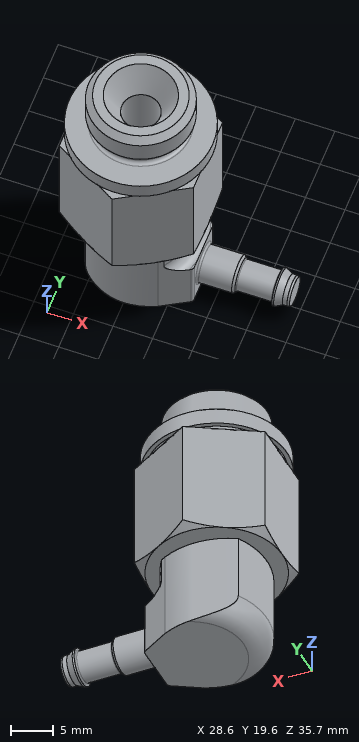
import cadquery as cq
import math

ELBOW_TOP = 11.8
HEX_BOTTOM = 12.1
HEX_TOP = 27.25
FLANGE_BOTTOM = 27.65
FLANGE_TOP = 29.85
NECK_TOP = 31.0
TOTAL_HEIGHT = 35.65

COLLAR_RADIUS = 13.15 / 2
NECK_RADIUS = 11.45 / 2
FLANGE_RADIUS = 18.15 / 2
NECK_FOOT_FILLET = 0.55
NECK_TOP_FILLET = 0.2
COLLAR_CHAMFER = COLLAR_RADIUS - NECK_RADIUS

BORE_RADIUS = 4.8 / 2
COUNTERSINK_RADIUS = 8.9 / 2
COUNTERSINK_HALF_ANGLE = 30

HEX_WIDTH = 17.0
HEX_CORNER_WIDTH = HEX_WIDTH / math.cos(math.radians(30))
HEX_CHAMFER_ANGLE = 30
SWIVEL_RADIUS = 4.8

ELBOW_HALF_WIDTH = 6.5
ELBOW_SIDE_RADIUS = 9.9
ELBOW_BOTTOM_FILLET = 3.0
NOSE_START = 4.2
NOSE_END = 7.9
NOSE_EDGE_FILLET = 0.55
NOSE_TAPER_ANGLE = 30
NOSE_TOP = 7.02
NOSE_FILLET = 1.65
NOSE_WALL_RADIUS = 9.0

OVERALL_LENGTH = 28.55
BARB_HEIGHT = 3.5
SHANK_RADIUS = 4.8 / 2
TUBE_RADIUS = 4.0 / 2
TIP_RADIUS = 3.9 / 2
SHANK_FILLET = 0.3
SHANK_CHAMFER_START = 12.37
SHANK_END = 12.7
TUBE_FILLET = 0.15
RIDGE_START = 17.45
RIDGE_END = 17.7
CONE_END = 18.6
BARB_END = OVERALL_LENGTH - FLANGE_RADIUS
TIP_CHAMFER_LENGTH = 0.3
TIP_CHAMFER_DEPTH = 0.1

SIDE_ARC_OFFSET = ELBOW_SIDE_RADIUS - ELBOW_HALF_WIDTH


def fillet_midpoint(corner_x, corner_y, radius):
    """Middle of a quarter-round fillet lying on the +x, +y side of a square inner corner."""
    offset = radius * (1 - math.sqrt(0.5))
    return (corner_x + offset, corner_y + offset)


def make_screw_end():
    """Collar, neck, flange and spacer disc, turned about the main axis."""
    setback = NECK_TOP_FILLET * math.tan(math.radians(22.5))
    cone_setback = setback * math.sqrt(0.5)
    return (
        cq.Workplane("XZ")
        .moveTo(0, HEX_TOP)
        .lineTo(HEX_WIDTH / 2, HEX_TOP)
        .lineTo(HEX_WIDTH / 2, FLANGE_BOTTOM)
        .lineTo(FLANGE_RADIUS, FLANGE_BOTTOM)
        .lineTo(FLANGE_RADIUS, FLANGE_TOP)
        .lineTo(NECK_RADIUS + NECK_FOOT_FILLET, FLANGE_TOP)
        .threePointArc(
            fillet_midpoint(NECK_RADIUS, FLANGE_TOP, NECK_FOOT_FILLET),
            (NECK_RADIUS, FLANGE_TOP + NECK_FOOT_FILLET),
        )
        .lineTo(NECK_RADIUS, NECK_TOP - setback)
        .tangentArcPoint((NECK_RADIUS + cone_setback, NECK_TOP + cone_setback), relative=False)
        .lineTo(COLLAR_RADIUS, NECK_TOP + COLLAR_CHAMFER)
        .lineTo(COLLAR_RADIUS, TOTAL_HEIGHT - COLLAR_CHAMFER)
        .lineTo(NECK_RADIUS, TOTAL_HEIGHT)
        .lineTo(0, TOTAL_HEIGHT)
        .close()
        .revolve(360, (0, 0), (0, 1))
    )


def make_hexagon():
    """Hexagon with corners on the Y axis and a turned chamfer at its underside."""
    corner_radius = HEX_CORNER_WIDTH / 2
    chamfer_height = (corner_radius - HEX_WIDTH / 2) * math.tan(math.radians(HEX_CHAMFER_ANGLE))
    hexagon = (
        cq.Workplane("XY")
        .workplane(offset=HEX_BOTTOM)
        .polygon(6, HEX_CORNER_WIDTH)
        .extrude(HEX_TOP - HEX_BOTTOM)
        .rotate((0, 0, 0), (0, 0, 1), 30)
    )
    chamfer_envelope = (
        cq.Workplane("XZ")
        .moveTo(0, HEX_BOTTOM)
        .lineTo(HEX_WIDTH / 2, HEX_BOTTOM)
        .lineTo(corner_radius, HEX_BOTTOM + chamfer_height)
        .lineTo(corner_radius, HEX_TOP)
        .lineTo(0, HEX_TOP)
        .close()
        .revolve(360, (0, 0), (0, 1))
    )
    return hexagon.intersect(chamfer_envelope)


def make_elbow_block():
    """Elbow outline with three bulging sides, rounded along the lower -X edge."""
    corner = (math.sqrt(2 * ELBOW_SIDE_RADIUS**2 - SIDE_ARC_OFFSET**2) - SIDE_ARC_OFFSET) / 2
    nose_start_y = math.sqrt(ELBOW_SIDE_RADIUS**2 - NOSE_START**2) - SIDE_ARC_OFFSET
    nose_taper = math.tan(math.radians(NOSE_TAPER_ANGLE))
    nose_end_y = nose_start_y - (NOSE_END - NOSE_START) * nose_taper
    outline = (
        cq.Workplane("XY")
        .moveTo(-corner, -corner)
        .threePointArc((0, -ELBOW_HALF_WIDTH), (NOSE_START, -nose_start_y))
        .lineTo(NOSE_END, -nose_end_y)
        .lineTo(NOSE_END, nose_end_y)
        .lineTo(NOSE_START, nose_start_y)
        .threePointArc((0, ELBOW_HALF_WIDTH), (-corner, corner))
        .threePointArc((-ELBOW_HALF_WIDTH, 0), (-corner, -corner))
        .close()
        .extrude(ELBOW_TOP)
        .edges("|Z and >X")
        .fillet(NOSE_EDGE_FILLET)
    )
    rounded_envelope = (
        cq.Workplane("XY")
        .center(SIDE_ARC_OFFSET, 0)
        .circle(ELBOW_SIDE_RADIUS)
        .extrude(ELBOW_TOP)
        .faces("<Z")
        .edges()
        .fillet(ELBOW_BOTTOM_FILLET)
    )
    return outline.intersect(rounded_envelope)


def make_nose_relief():
    """Space above the nose, bounded by a bulging wall with a filleted foot."""
    length = 2 * ELBOW_HALF_WIDTH
    relief = cq.Workplane("XY").box(length, 2 * length, length, centered=(False, True, False))
    relief = relief.translate((ELBOW_HALF_WIDTH / 2, 0, NOSE_TOP))
    wall = (
        cq.Workplane("XZ")
        .moveTo(0, NOSE_TOP)
        .lineTo(NOSE_WALL_RADIUS + NOSE_FILLET, NOSE_TOP)
        .threePointArc(
            fillet_midpoint(NOSE_WALL_RADIUS, NOSE_TOP, NOSE_FILLET),
            (NOSE_WALL_RADIUS, NOSE_TOP + NOSE_FILLET),
        )
        .lineTo(NOSE_WALL_RADIUS, NOSE_TOP + length)
        .lineTo(0, NOSE_TOP + length)
        .close()
        .revolve(360, (0, 0), (0, 1))
        .translate((ELBOW_HALF_WIDTH - NOSE_WALL_RADIUS, 0, 0))
    )
    return relief.cut(wall)


def make_barb():
    """Hose barb turned about its own axis, rooted inside the elbow."""
    return (
        cq.Workplane("XZ")
        .moveTo(NOSE_START, 0)
        .lineTo(NOSE_START, SHANK_RADIUS + SHANK_FILLET)
        .lineTo(NOSE_END, SHANK_RADIUS + SHANK_FILLET)
        .threePointArc(
            fillet_midpoint(NOSE_END, SHANK_RADIUS, SHANK_FILLET),
            (NOSE_END + SHANK_FILLET, SHANK_RADIUS),
        )
        .lineTo(SHANK_CHAMFER_START, SHANK_RADIUS)
        .lineTo(SHANK_END, TUBE_RADIUS + TUBE_FILLET)
        .threePointArc(
            fillet_midpoint(SHANK_END, TUBE_RADIUS, TUBE_FILLET),
            (SHANK_END + TUBE_FILLET, TUBE_RADIUS),
        )
        .lineTo(RIDGE_START - TUBE_FILLET, TUBE_RADIUS)
        .tangentArcPoint((RIDGE_START, TUBE_RADIUS + TUBE_FILLET), relative=False)
        .lineTo(RIDGE_START, SHANK_RADIUS)
        .lineTo(RIDGE_END, SHANK_RADIUS)
        .lineTo(CONE_END, TIP_RADIUS)
        .lineTo(BARB_END - TIP_CHAMFER_LENGTH, TIP_RADIUS)
        .lineTo(BARB_END, TIP_RADIUS - TIP_CHAMFER_DEPTH)
        .lineTo(BARB_END, 0)
        .close()
        .revolve(360, (0, 0), (1, 0))
        .translate((0, 0, BARB_HEIGHT))
    )


def make_bore():
    """Countersunk inlet bore, blind at the underside of the hexagon."""
    countersink_slope = math.tan(math.radians(COUNTERSINK_HALF_ANGLE))
    countersink_depth = (COUNTERSINK_RADIUS - BORE_RADIUS) / countersink_slope
    return (
        cq.Workplane("XZ")
        .moveTo(0, HEX_BOTTOM)
        .lineTo(BORE_RADIUS, HEX_BOTTOM)
        .lineTo(BORE_RADIUS, TOTAL_HEIGHT - countersink_depth)
        .lineTo(COUNTERSINK_RADIUS, TOTAL_HEIGHT)
        .lineTo(0, TOTAL_HEIGHT)
        .close()
        .revolve(360, (0, 0), (0, 1))
    )


swivel = (
    cq.Workplane("XY")
    .workplane(offset=ELBOW_TOP)
    .circle(SWIVEL_RADIUS)
    .extrude(HEX_BOTTOM - ELBOW_TOP)
)

elbow = make_elbow_block().cut(make_nose_relief()).union(make_barb())
result = elbow.union(swivel).union(make_hexagon()).union(make_screw_end()).cut(make_bore())